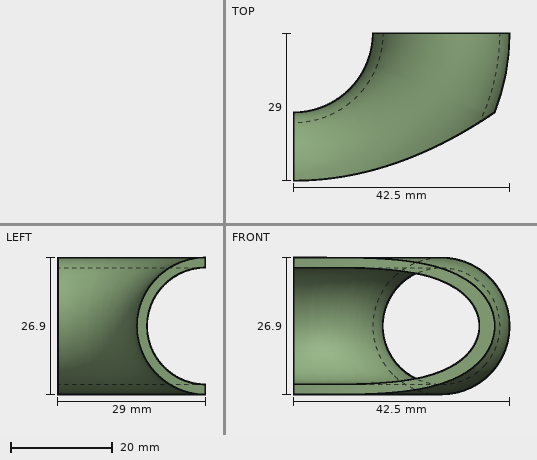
import cadquery as cq

bend_radius = 29.0
outer_radius = 13.45
wall = 2.0
bend_angle = 90.0

outer_diameter = 2 * outer_radius
inner_radius = outer_radius - wall


def make_elbow():
    """Hollow bend around the Z axis, from the X = 0 end to the Y = 0 end."""
    ring = (
        cq.Workplane("XZ")
        .center(bend_radius, 0)
        .circle(outer_radius)
        .circle(inner_radius)
    )
    axis_start = (-bend_radius, 0)
    axis_end = (-bend_radius, -1)
    return ring.revolve(bend_angle, axis_start, axis_end)


def make_kept_region():
    """Block on the inner side of the saddle cut.

    A bend and a straight pipe of equal radius meet on a parabola. It touches
    the bend centreline at X = 0 and crosses Y = 0 at twice the bend radius.
    """
    parabola_start = (0, -bend_radius)
    parabola_control = (bend_radius, -bend_radius)
    parabola_end = (2 * bend_radius, 0)
    return (
        cq.Workplane("XY", origin=(0, 0, -outer_diameter))
        .moveTo(*parabola_start)
        .bezier([parabola_control, parabola_end], includeCurrent=True)
        .lineTo(0, 0)
        .close()
        .extrude(2 * outer_diameter)
    )


result = make_elbow().intersect(make_kept_region())